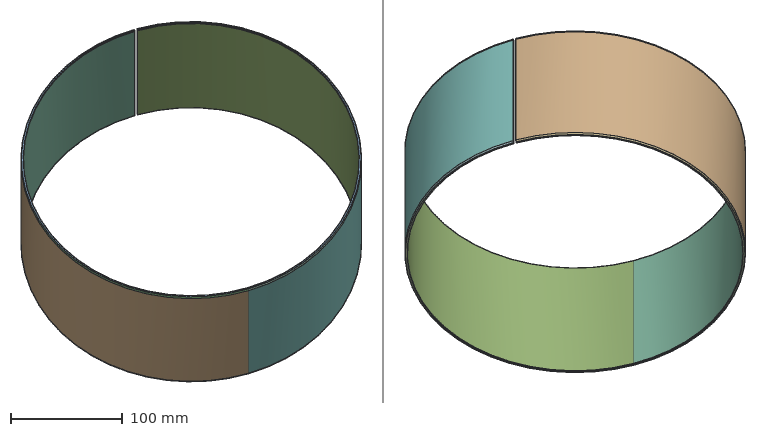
import cadquery as cq

outer_diameter = 305.0
height = 130.0
wall = 2.5
gap_width = 2.65

outer_bevel_height = 1.8
outer_bevel_depth = 0.67
inner_bevel_height = 0.5
inner_bevel_depth = 0.37

outer_radius = outer_diameter / 2
inner_radius = outer_radius - wall


def make_ring():
    """Full ring, revolved from the wall section with its four bevelled corners."""
    rim_outer_radius = outer_radius - outer_bevel_depth
    rim_inner_radius = inner_radius + inner_bevel_depth
    wall_section = [
        (rim_inner_radius, 0),
        (rim_outer_radius, 0),
        (outer_radius, outer_bevel_height),
        (outer_radius, height - outer_bevel_height),
        (rim_outer_radius, height),
        (rim_inner_radius, height),
        (inner_radius, height - inner_bevel_height),
        (inner_radius, inner_bevel_height),
    ]
    return cq.Workplane("XZ").polyline(wall_section).close().revolve(360, (0, 0, 0), (0, 1, 0))


def make_gap_cutter():
    """Block through the wall on the -X side, with one face on the XZ plane and the rest toward +Y."""
    cutter_length = 4 * wall
    return (
        cq.Workplane("XY")
        .center(-outer_radius, 0)
        .box(cutter_length, gap_width, height, centered=(True, False, False))
    )


result = make_ring().cut(make_gap_cutter())